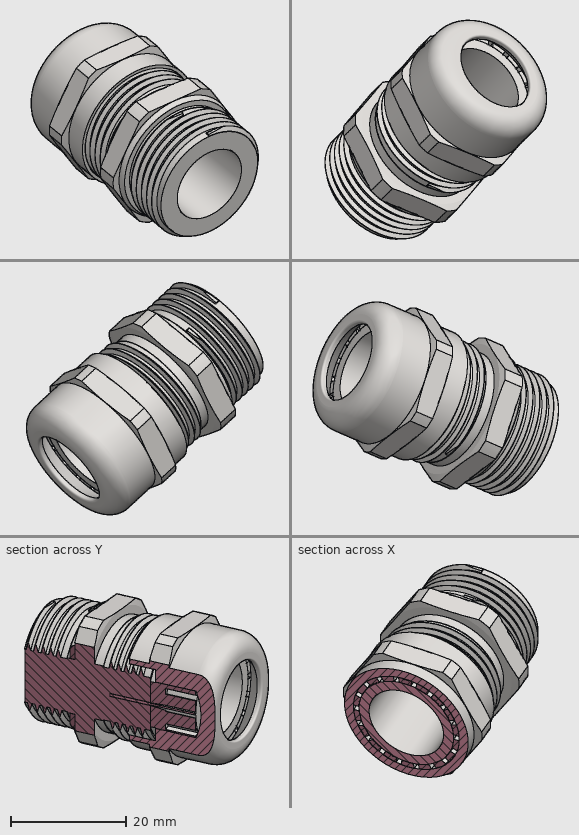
import cadquery as cq
import math

TOTAL_LENGTH = 38.15

HEX_FLATS = 24.15
CAP_HEX_FLATS = 24.0
HEX_CORNER_DIAMETER = 26.63
HEX_CHAMFER = 0.25
HEX_TURN = 30.0

CAP_LENGTH = 17.25
CAP_DIAMETER = 23.9
CAP_FACE_DIAMETER = 17.25
CAP_MOUTH_DIAMETER = 14.35
CAP_MOUTH_FILLET = 0.35
CAP_LIP_THICKNESS = 1.0
CAP_HEX_START = 9.2
CAP_HEX_LENGTH = 4.1
CAP_CAVITY_STEP = 12.0
CAP_BORE_DIAMETER = 22.62

ENTRY_THREAD_TRAVEL = 7.48
ENTRY_THREAD_TURNS = 5
PITCH = ENTRY_THREAD_TRAVEL / ENTRY_THREAD_TURNS
THREAD_DIAMETER = 22.45
ROOT_DIAMETER = 20.85
THREAD_BASE = 0.95
THREAD_CREST = 0.08
THREAD_SINK = 0.1
THREAD_END_HEIGHT = 10.72
THREAD_END_FLAT_WIDTH = 1.2
CAP_THREAD_TURNS = 5
CAP_THREAD_END = 21.82
ENTRY_THREAD_START = 30.15
FUSE_TOLERANCE = 0.0001

NECK_DIAMETER = 21.05
BODY_START = 12.97
NECK_START = 22.35
BODY_HEX_START = 24.1
BODY_HEX_LENGTH = 4.0
ENTRY_NECK_END = 29.65
BODY_BORE_DIAMETER = 13.85

GASKET_DIAMETER = 24.1
GASKET_THICKNESS = 1.0
GASKET_EDGE_DROP = 0.45

SEAL_START = 3.93
SEAL_END = 21.0
SEAL_DIAMETER = 18.27
SEAL_BORE_DIAMETER = 14.23
CLAW_DIAMETER = 20.22
CLAW_SLOTS = 18
CLAW_SLOT_WIDTH = 0.9
CLAW_FIRST_SLOT_ANGLE = -1.5
CLAW_SLOT_END = 9.9


def cylinder(start, end, diameter):
    """Solid cylinder on the X axis from start to end."""
    return cq.Workplane("YZ", origin=(start, 0, 0)).circle(diameter / 2).extrude(end - start)


def revolved(profile):
    """Turn a closed (x, radius) profile around the X axis."""
    return profile.close().revolve(360, (0, 0, 0), (1, 0, 0))


def hexagon(start, length, flats, face_diameter, chamfer_end):
    """Hexagon with flats up and down, rounded corners and a shallow chamfer on its ends."""
    prism = cq.Workplane("YZ", origin=(start, 0, 0)).polygon(6, flats, circumscribed=True).extrude(length)
    prism = prism.rotate((0, 0, 0), (1, 0, 0), HEX_TURN)
    face_radius = face_diameter / 2
    corner_radius = HEX_CORNER_DIAMETER / 2
    end = start + length
    envelope = (
        cq.Workplane("XY")
        .moveTo(start, 0)
        .lineTo(start, face_radius)
        .lineTo(start + HEX_CHAMFER, corner_radius)
    )
    if chamfer_end:
        envelope = envelope.lineTo(end - HEX_CHAMFER, corner_radius).lineTo(end, face_radius)
    else:
        envelope = envelope.lineTo(end, corner_radius)
    return prism.intersect(revolved(envelope.lineTo(end, 0)))


def thread_ridge(start, turns, side):
    """Right-hand helical ridge starting and ending above (side = 1) or below (side = -1) the axis.

    The crest is planed down to a flat at both ends.
    """
    length = turns * PITCH
    root_radius = ROOT_DIAMETER / 2
    crest_radius = THREAD_DIAMETER / 2
    half_base = THREAD_BASE / 2
    half_crest = THREAD_CREST / 2
    sunk_radius = root_radius - THREAD_SINK
    path = cq.Wire.makeHelix(PITCH, length, root_radius)
    ridge = (
        cq.Workplane("XZ")
        .polyline([
            (sunk_radius, -half_base),
            (root_radius, -half_base),
            (crest_radius, -half_crest),
            (crest_radius, half_crest),
            (root_radius, half_base),
            (sunk_radius, half_base),
        ])
        .close()
        .sweep(cq.Workplane(path), isFrenet=True)
    )
    ridge = ridge.rotate((0, 0, 0), (0, 1, 0), 90)
    if side > 0:
        ridge = ridge.rotate((0, 0, 0), (1, 0, 0), 180)
    ridge = ridge.translate((start, 0, 0))
    planer_size = crest_radius
    planer_height = side * (THREAD_END_HEIGHT + planer_size / 2)
    for place, direction in ((start, -1), (start + length, 1)):
        planer = (
            cq.Workplane("XY")
            .box(THREAD_END_FLAT_WIDTH, planer_size, planer_size)
            .translate((place, direction * side * planer_size / 2, planer_height))
        )
        ridge = ridge.cut(planer)
    return ridge


def make_cap():
    """Domed cap with a hexagon, a lipped mouth and a cavity over the claw and the body thread."""
    radius = CAP_DIAMETER / 2
    face_radius = CAP_FACE_DIAMETER / 2
    dome = radius - face_radius
    diagonal = dome * math.sqrt(0.5)
    outside = revolved(
        cq.Workplane("XY")
        .lineTo(0, face_radius)
        .threePointArc((dome - diagonal, face_radius + diagonal), (dome, radius))
        .lineTo(CAP_LENGTH, radius)
        .lineTo(CAP_LENGTH, 0)
    )
    hex_part = hexagon(CAP_HEX_START, CAP_HEX_LENGTH, CAP_HEX_FLATS, CAP_DIAMETER, True)
    mouth_radius = CAP_MOUTH_DIAMETER / 2
    claw_radius = CLAW_DIAMETER / 2
    inside = revolved(
        cq.Workplane("XY")
        .lineTo(0, mouth_radius)
        .lineTo(CAP_LIP_THICKNESS, mouth_radius)
        .lineTo(SEAL_START, claw_radius)
        .lineTo(CAP_CAVITY_STEP, claw_radius)
        .lineTo(CAP_CAVITY_STEP, CAP_BORE_DIAMETER / 2)
        .lineTo(CAP_LENGTH, CAP_BORE_DIAMETER / 2)
        .lineTo(CAP_LENGTH, 0)
    )
    cap = outside.union(hex_part).cut(inside)
    mouth_edge = cq.selectors.RadiusNthSelector(0)
    return cap.faces("<X").edges(mouth_edge).fillet(CAP_MOUTH_FILLET)


def make_body():
    """Double-threaded body with a hexagon, a seal pocket and a through bore."""
    cap_thread_start = CAP_THREAD_END - CAP_THREAD_TURNS * PITCH
    cap_ridge = thread_ridge(cap_thread_start, CAP_THREAD_TURNS, -1)
    entry_ridge = thread_ridge(ENTRY_THREAD_START, ENTRY_THREAD_TURNS, 1)
    body = cylinder(BODY_START, TOTAL_LENGTH, ROOT_DIAMETER)
    body = body.union(cap_ridge, tol=FUSE_TOLERANCE).union(entry_ridge, tol=FUSE_TOLERANCE)
    body = body.union(cylinder(NECK_START, ENTRY_NECK_END, NECK_DIAMETER))
    body = body.union(hexagon(BODY_HEX_START, BODY_HEX_LENGTH, HEX_FLATS, HEX_FLATS, False))
    seal_pocket = cylinder(BODY_START, SEAL_END, SEAL_DIAMETER)
    bore = cylinder(BODY_START, TOTAL_LENGTH, BODY_BORE_DIAMETER)
    return body.cut(seal_pocket).cut(bore)


def make_gasket():
    """Ring seated on the neck against the body hexagon."""
    start = BODY_HEX_START + BODY_HEX_LENGTH
    end = start + GASKET_THICKNESS
    outer = GASKET_DIAMETER / 2
    inner = NECK_DIAMETER / 2
    arc_radius = (GASKET_THICKNESS**2 + GASKET_EDGE_DROP**2) / (2 * GASKET_EDGE_DROP)
    return revolved(
        cq.Workplane("XY")
        .moveTo(start, inner)
        .lineTo(start, outer)
        .radiusArc((end, outer - GASKET_EDGE_DROP), arc_radius)
        .lineTo(end, inner)
    )


def make_seal():
    """Plain sleeve inside the claw and the body pocket."""
    sleeve = cylinder(SEAL_START, SEAL_END, SEAL_DIAMETER)
    return sleeve.cut(cylinder(SEAL_START, SEAL_END, SEAL_BORE_DIAMETER))


def make_claw():
    """Ring around the seal, slotted from its front into equal fingers and seated on the body."""
    claw = cylinder(SEAL_START, BODY_START, CLAW_DIAMETER)
    claw = claw.cut(cylinder(SEAL_START, BODY_START, SEAL_DIAMETER))
    slot_length = CLAW_SLOT_END - SEAL_START
    for index in range(CLAW_SLOTS):
        slot = (
            cq.Workplane("XY")
            .box(slot_length, CLAW_DIAMETER / 2, CLAW_SLOT_WIDTH)
            .translate((SEAL_START + slot_length / 2, CLAW_DIAMETER / 2, 0))
            .rotate((0, 0, 0), (1, 0, 0), CLAW_FIRST_SLOT_ANGLE + index * 360 / CLAW_SLOTS)
        )
        claw = claw.cut(slot)
    return claw


cap = make_cap()
body = make_body()
gasket = make_gasket()
seal = make_seal()
claw = make_claw()

result = cq.Compound.makeCompound([cap.val(), body.val(), gasket.val(), seal.val(), claw.val()])